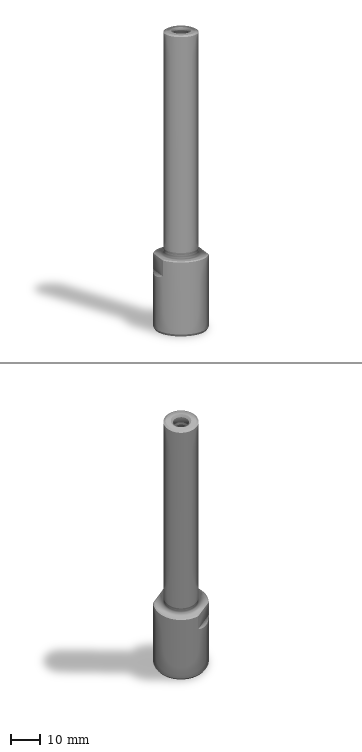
import cadquery as cq
import math

total_length = 107.0
body_diameter = 19.0
body_length = 27.0
shaft_diameter = 12.0

bevel_slope = math.tan(math.radians(30))
body_bottom_bevel_width = 0.5
body_bottom_bevel_height = body_bottom_bevel_width / bevel_slope
body_top_bevel_width = 0.5
body_top_bevel_height = body_top_bevel_width * bevel_slope
shaft_end_diameter = 10.5
shaft_end_bevel_height = (shaft_diameter - shaft_end_diameter) / 2 * bevel_slope

groove_diameter = 11.6
groove_fillet_radius = 0.6
groove_length = 2.0
groove_runout_angle = 15.0

across_flats = 17.0
flat_bottom_height = 21.0

through_hole_diameter = 4.13
counterbore_diameter = 5.5
countersink_diameter = 7.0
counterbore_shoulder_depth = 3.0


def make_turned_blank():
    """Body and shaft revolved from one half profile in the XZ plane."""
    body_radius = body_diameter / 2
    shaft_radius = shaft_diameter / 2
    groove_radius = groove_diameter / 2
    groove_top = body_length + groove_length
    runout_length = (shaft_radius - groove_radius) / math.tan(math.radians(groove_runout_angle))
    fillet_center_x = groove_radius + groove_fillet_radius
    fillet_center_z = body_length + groove_fillet_radius
    fillet_mid_offset = groove_fillet_radius * math.sqrt(0.5)

    profile = (
        cq.Workplane("XZ")
        .moveTo(0, 0)
        .lineTo(body_radius - body_bottom_bevel_width, 0)
        .lineTo(body_radius, body_bottom_bevel_height)
        .lineTo(body_radius, body_length - body_top_bevel_height)
        .lineTo(body_radius - body_top_bevel_width, body_length)
        .lineTo(fillet_center_x, body_length)
        .threePointArc(
            (fillet_center_x - fillet_mid_offset, fillet_center_z - fillet_mid_offset),
            (groove_radius, fillet_center_z),
        )
        .lineTo(groove_radius, groove_top - runout_length)
        .lineTo(shaft_radius, groove_top)
        .lineTo(shaft_radius, total_length - shaft_end_bevel_height)
        .lineTo(shaft_end_diameter / 2, total_length)
        .lineTo(0, total_length)
        .close()
    )
    return profile.revolve(360, (0, 0), (0, 1))


def make_flat_cutter(side):
    """Prism cutting one flat: 45 degree run-out below, bevelled edge above; side is +1 or -1."""
    flat_y = across_flats / 2
    outer_y = body_diameter / 2
    bevel_start = body_length - body_top_bevel_height
    points = [
        (side * flat_y, flat_bottom_height),
        (side * outer_y, flat_bottom_height - (outer_y - flat_y)),
        (side * outer_y, body_length),
        (side * (flat_y - body_top_bevel_width), body_length),
        (side * flat_y, bevel_start),
    ]
    return cq.Workplane("YZ").polyline(points).close().extrude(body_diameter / 2, both=True)


def make_bore():
    """Through hole with a conical-shouldered counterbore and a countersink at the shaft end."""
    hole_radius = through_hole_diameter / 2
    counterbore_radius = counterbore_diameter / 2
    countersink_radius = countersink_diameter / 2
    shoulder_z = total_length - counterbore_shoulder_depth
    shoulder_height = (counterbore_radius - hole_radius) * bevel_slope
    countersink_depth = countersink_radius - counterbore_radius
    points = [
        (0, 0),
        (hole_radius, 0),
        (hole_radius, shoulder_z - shoulder_height),
        (counterbore_radius, shoulder_z),
        (counterbore_radius, total_length - countersink_depth),
        (countersink_radius, total_length),
        (0, total_length),
    ]
    return cq.Workplane("XZ").polyline(points).close().revolve(360, (0, 0), (0, 1))


result = make_turned_blank()
for flat_side in (-1, 1):
    result = result.cut(make_flat_cutter(flat_side))
result = result.cut(make_bore())